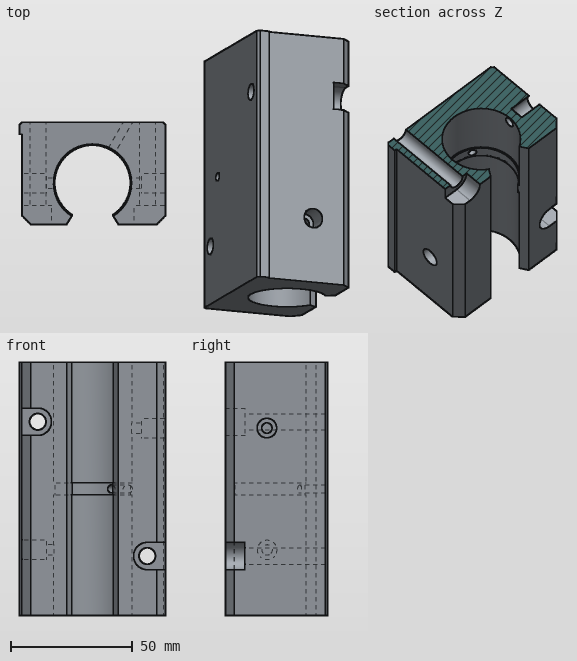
import cadquery as cq
import math

width = 60.0
depth = 42.0
height = 104.0
ledge_step = 1.0
ledge_depth = 5.0
front_chamfer = 3.6
back_chamfer = 1.0

bore_radius = 16.0
rib_radius = 15.5
rib_height = 5.0
bore_y = depth / 2 - 25.0
mouth_half_angle = math.radians(32)

mount_x = 21.6
mount_z_offset = 26.5
mount_diameter = 6.7
pocket_width = 11.2
pocket_depth = 8.0

cross_z_offset = 24.0
cross_diameter = 4.3
cross_counterbore_diameter = 8.0
cross_counterbore_depth = 9.6

pin_diameter = 3.3
pin_angle = 30

right = width / 2
left = -right + ledge_step
front = -depth / 2
back = depth / 2
middle = height / 2


def block():
    outline = [
        (left + front_chamfer, front),
        (right - front_chamfer, front),
        (right, front + front_chamfer),
        (right, back - back_chamfer),
        (right - back_chamfer, back),
        (-right + back_chamfer, back),
        (-right, back - back_chamfer),
        (-right, back - ledge_depth),
        (left, back - ledge_depth),
        (left, front + front_chamfer),
    ]
    return cq.Workplane("XY").polyline(outline).close().extrude(height)


def open_bore():
    """Bore, relieved above and below the rib, with a mouth flaring along radial planes."""
    bore = cq.Workplane("XY").center(0, bore_y).circle(rib_radius).extrude(height)
    relief_height = (height - rib_height) / 2
    for base in (0, height - relief_height):
        relief = cq.Workplane("XY", origin=(0, bore_y, base)).circle(bore_radius)
        bore = bore.union(relief.extrude(relief_height))
    mouth_length = bore_y - front
    mouth_half_width = mouth_length * math.tan(mouth_half_angle)
    mouth = (
        cq.Workplane("XY")
        .polyline([(0, bore_y), (-mouth_half_width, front), (mouth_half_width, front)])
        .close()
        .extrude(height)
    )
    return bore.union(mouth)


def mounting_cut(side):
    """Through hole along Y and a round-ended pocket open to the given side (-1 or 1)."""
    x = side * mount_x
    z = middle - side * mount_z_offset
    face = cq.Workplane("XZ", origin=(x, front, z))
    hole = face.circle(mount_diameter / 2).extrude(-depth)
    round_end = face.circle(pocket_width / 2).extrude(-pocket_depth)
    outer_x = right if side > 0 else left
    run = outer_x - x
    slot = face.center(run / 2, 0).rect(abs(run), pocket_width).extrude(-pocket_depth)
    return hole.union(round_end).union(slot)


def cross_cut(side):
    """Stepped hole from the given side face (-1 or 1) into the bore."""
    outer_x = right if side > 0 else left
    face = cq.Workplane("YZ", origin=(outer_x, bore_y, middle + side * cross_z_offset))
    hole = face.circle(cross_diameter / 2).extrude(-outer_x)
    counterbore = face.circle(cross_counterbore_diameter / 2).extrude(-side * cross_counterbore_depth)
    return hole.union(counterbore)


def pin_hole():
    """Radial hole from the bore axis out through the back face."""
    angle = math.radians(pin_angle)
    direction = cq.Vector(math.sin(angle), math.cos(angle), 0)
    origin = cq.Vector(0, bore_y, middle)
    return cq.Solid.makeCylinder(pin_diameter / 2, depth, origin, direction)


result = block().cut(open_bore())
for side in (-1, 1):
    result = result.cut(mounting_cut(side)).cut(cross_cut(side))
result = result.cut(pin_hole())